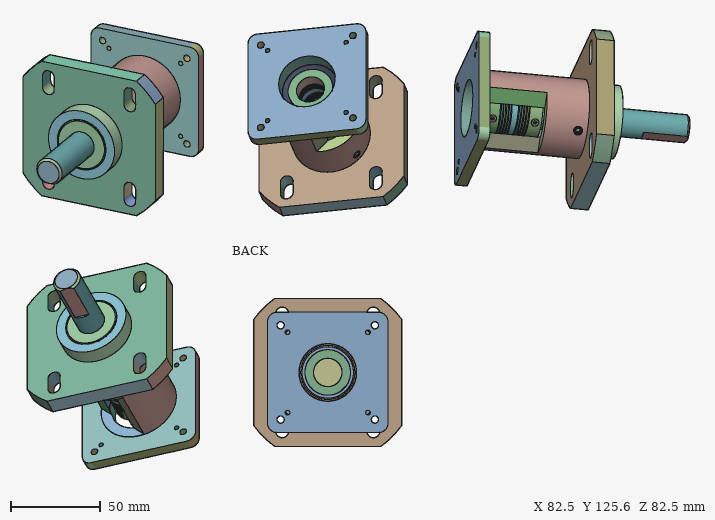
import cadquery as cq
import math


shaft_reach = 41.0
boss_length = 9.4
flange_thickness = 10.0
tube_length = 58.9
plate_thickness = 6.3

flange_rear = boss_length + flange_thickness
plate_front = flange_rear + tube_length
plate_rear = plate_front + plate_thickness

flange_side = 82.5
flange_corner_diameter = 101.5
slot_width = 7.2
slot_length = 14.6
slot_x = 25.4
slot_z = 29.0

boss_diameter = 41.2
tube_diameter = 44.5
bearing_bore = 30.1
coupling_bore = 31.8
pilot_bore = 32.2
pilot_depth = 9.7

window_front = 43.6
window_rib = 0.4
window_angle = 45
window_flat_distance = 13.3

plate_side = 67.1
plate_corner_radius = 5.4
motor_hole_diameter = 3.9
motor_hole_offset = 26.3
pin_hole_diameter = 2.5
pin_hole_offset = 22.4

bearing_width = boss_length
bearing_chamfer = 0.8

shaft_diameter = 15.8
shaft_chamfer = 1.3
shaft_flat_length = 25.9
shaft_flat_distance = 6.8

coupling_diameter = 25.4
coupling_length = 31.4
coupling_front = 44.0
coupling_middle = coupling_front + coupling_length / 2
beam_pitch = 1.5
beam_turns = 4.5
beam_slot_width = 0.6
beam_slot_overrun = 1.3
beam_start = 1.5
beam_start_angle = 345
hub_length = 6.9

housing_screw_angle = 45
housing_screw_y = flange_rear + 5.1
housing_screw_diameter = 4.9
housing_screw_chamfer = 0.6
housing_screw_sink = 0.4
housing_socket_width = 2.5
coupling_screw_angle = 48
coupling_screw_inset = 3.6
coupling_screw_diameter = 4.3
coupling_screw_sink = 0.3
coupling_socket_width = 1.8
socket_depth = 1.9


def cylinder(diameter, front, rear):
    return cq.Workplane("XZ", origin=(0, rear, 0)).circle(diameter / 2).extrude(rear - front)


def square_block(side, front, rear):
    return cq.Workplane("XZ", origin=(0, rear, 0)).rect(side, side).extrude(rear - front)


def corner_points(x, z):
    return [(sign_x * x, sign_z * z) for sign_x in (-1, 1) for sign_z in (-1, 1)]


def radial_plane(y, distance, degrees_below):
    """Plane facing away from the axis, in a direction turned down from -X."""
    angle = math.radians(degrees_below)
    outward = (-math.cos(angle), 0, -math.sin(angle))
    origin = (outward[0] * distance, y, outward[2] * distance)
    return cq.Plane(origin=origin, xDir=(0, 1, 0), normal=outward)


def hexagon_socket(face_plane, width):
    circumscribed = width / math.cos(math.pi / 6)
    return cq.Workplane(face_plane).polygon(6, circumscribed).extrude(-socket_depth)


def make_flange():
    flange = square_block(flange_side, boss_length, flange_rear)
    flange = flange.intersect(cylinder(flange_corner_diameter, boss_length, flange_rear))
    slots = (
        cq.Workplane("XZ", origin=(0, flange_rear, 0))
        .pushPoints(corner_points(slot_x, slot_z))
        .slot2D(slot_length, slot_width, 90)
        .extrude(flange_thickness)
    )
    return flange.cut(slots)


def make_plate():
    plate = square_block(plate_side, plate_front, plate_rear).edges("|Y").fillet(plate_corner_radius)
    for diameter, offset in (
        (motor_hole_diameter, motor_hole_offset),
        (pin_hole_diameter, pin_hole_offset),
    ):
        holes = (
            cq.Workplane("XZ", origin=(0, plate_rear, 0))
            .pushPoints(corner_points(offset, offset))
            .circle(diameter / 2)
            .extrude(plate_thickness)
        )
        plate = plate.cut(holes)
    return plate


def make_window_cutter():
    window_rear = plate_front - window_rib
    window_middle = (window_front + window_rear) / 2
    return (
        cq.Workplane(radial_plane(window_middle, window_flat_distance, window_angle))
        .rect(window_rear - window_front, tube_diameter)
        .extrude(tube_diameter / 2)
    )


def add_housing_screw(housing):
    """Chamfered socket set screw face, sunk in the tube wall."""
    face_distance = tube_diameter / 2 - housing_screw_sink
    root_distance = face_distance - housing_screw_chamfer
    root_plane = radial_plane(housing_screw_y, root_distance, housing_screw_angle)
    face_plane = radial_plane(housing_screw_y, face_distance, housing_screw_angle)
    root_radius = housing_screw_diameter / 2
    recess = cq.Workplane(root_plane).circle(root_radius).extrude(tube_diameter / 2)
    screw_tip = cq.Solid.makeCone(
        root_radius,
        root_radius - housing_screw_chamfer,
        housing_screw_chamfer,
        root_plane.origin,
        root_plane.zDir,
    )
    socket = hexagon_socket(face_plane, housing_socket_width)
    return housing.cut(recess).union(cq.Workplane(screw_tip)).cut(socket)


def make_housing():
    housing = (
        cylinder(boss_diameter, 0, boss_length)
        .union(make_flange())
        .union(cylinder(tube_diameter, flange_rear, plate_front))
        .union(make_plate())
        .cut(cylinder(bearing_bore, 0, flange_rear))
        .cut(cylinder(coupling_bore, flange_rear, plate_rear))
        .cut(cylinder(pilot_bore, plate_rear - pilot_depth, plate_rear))
        .cut(make_window_cutter())
    )
    return add_housing_screw(housing)


def make_bearing():
    bearing = cylinder(bearing_bore, 0, bearing_width).edges("%CIRCLE").chamfer(bearing_chamfer)
    return bearing.cut(cylinder(shaft_diameter, 0, bearing_width))


def make_shaft():
    tip = -shaft_reach
    shaft = cylinder(shaft_diameter, tip, coupling_front + hub_length)
    shaft = shaft.faces("<Y").chamfer(shaft_chamfer)
    below_flat = cq.Workplane("XY").box(
        shaft_diameter, shaft_flat_length, shaft_diameter, centered=(True, False, False)
    )
    return shaft.cut(below_flat.translate((0, tip, -shaft_flat_distance - shaft_diameter)))


def make_beam_slot():
    """Right-handed helical cutter behind the coupling middle."""
    inner_radius = shaft_diameter / 2 - beam_slot_overrun
    outer_radius = coupling_diameter / 2 + beam_slot_overrun
    middle_radius = (inner_radius + outer_radius) / 2
    path = cq.Wire.makeHelix(beam_pitch, beam_pitch * beam_turns, outer_radius)
    cutter = (
        cq.Workplane("XZ", origin=(middle_radius, 0, 0))
        .rect(outer_radius - inner_radius, beam_slot_width)
        .sweep(cq.Workplane(path), isFrenet=True)
    )
    return (
        cutter.rotate((0, 0, 0), (1, 0, 0), -90)
        .rotate((0, 0, 0), (0, 1, 0), -beam_start_angle)
        .translate((0, coupling_middle + beam_start, 0))
    )


def make_coupling():
    coupling_rear = coupling_front + coupling_length
    coupling = cylinder(coupling_diameter, coupling_front, coupling_rear)
    coupling = coupling.cut(cylinder(shaft_diameter, coupling_front, coupling_rear))
    rear_slot = make_beam_slot()
    front_slot = rear_slot.mirror("XZ", (0, coupling_middle, 0))
    coupling = coupling.cut(rear_slot).cut(front_slot)
    face_distance = coupling_diameter / 2 - coupling_screw_sink
    for y in (coupling_front + coupling_screw_inset, coupling_rear - coupling_screw_inset):
        face_plane = radial_plane(y, face_distance, coupling_screw_angle)
        recess = (
            cq.Workplane(face_plane)
            .circle(coupling_screw_diameter / 2)
            .extrude(coupling_diameter / 2)
        )
        coupling = coupling.cut(recess).cut(hexagon_socket(face_plane, coupling_socket_width))
    return coupling


housing = make_housing()
bearing = make_bearing()
shaft = make_shaft()
coupling = make_coupling()

result = cq.Compound.makeCompound([housing.val(), bearing.val(), shaft.val(), coupling.val()])